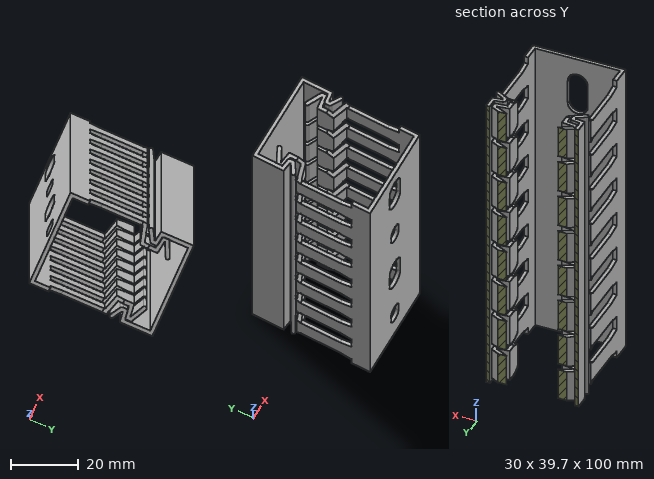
import cadquery as cq
import math

WIDTH = 30.0
DEPTH = 39.7
LENGTH = 100.0
WALL = 1.3
HALF_WIDTH = WIDTH / 2

LATCH_Y = 30.3
LATCH_SLOPE = 0.13

BASE_WALL_TOP = 24.8
GROOVE_X = 9.7
GROOVE_LOW_Y = 26.3
HEEL_TOP = 32.3
ARM_END_X = 8.7
ARM_END_Y = 34.8

COVER_NECK_X = 11.8
COVER_NECK_HEIGHT = 0.3
NECK_FILLET = 0.9
EDGE_MARGIN = 0.1
COVER_LIP_X = 14.6
COVER_LIP_Y = 26.8

FINGER_COUNT = 8
FINGER_PITCH = LENGTH / FINGER_COUNT
SLOT_WIDTH = 6.0
SLOT_ROOT_WIDTH = 4.5
SLOT_CLIP_WIDTH = 2.0
SLOT_ROOT_Y = 6.3
SLOT_ROOT_TAPER_END = 10.2
SLOT_CLIP_TAPER_START = 23.5
SLOT_CLIP_TAPER_END = 27.8

HOLE_PITCH = LENGTH / 4
LONG_HOLE_SIZE = (14.0, 6.5)
SHORT_HOLE_SIZE = (8.0, 4.5)


def latch_y(distance_from_middle):
    """Y of the shared sloping face at a distance from the middle plane."""
    return LATCH_Y - LATCH_SLOPE * (HALF_WIDTH - WALL - distance_from_middle)


def left_normal(start, end):
    """Unit vector to the left of the line from start to end."""
    dx = end[0] - start[0]
    dy = end[1] - start[1]
    length = math.hypot(dx, dy)
    return (-dy / length, dx / length)


def offset_left(path):
    """The open path moved one wall thickness to its left, with mitred corners."""
    normals = [left_normal(a, b) for a, b in zip(path, path[1:])]
    moved = []
    for point, before, after in zip(path, normals[:1] + normals, normals + normals[-1:]):
        mitre = WALL / (1 + before[0] * after[0] + before[1] * after[1])
        moved.append((point[0] + mitre * (before[0] + after[0]), point[1] + mitre * (before[1] + after[1])))
    return moved


def mirrored(path):
    """The path followed by its mirror image across the middle plane."""
    return path + [(-x, y) for x, y in reversed(path)]


def strip(path):
    """A strip one wall thick on the left of the path, with rounded ends, over the full length."""
    inner_path = offset_left(path)
    body = cq.Workplane("XY").polyline(path + inner_path[::-1]).close().extrude(LENGTH)
    for end in (0, -1):
        end_x = (path[end][0] + inner_path[end][0]) / 2
        end_y = (path[end][1] + inner_path[end][1]) / 2
        body = body.union(cq.Workplane("XY").center(end_x, end_y).circle(WALL / 2).extrude(LENGTH))
    return body


def finger_slot():
    """One slot centred on Z = 0, passing through both side walls and open past the clips."""
    half_outline = [
        (SLOT_ROOT_Y, SLOT_ROOT_WIDTH / 2),
        (SLOT_ROOT_TAPER_END, SLOT_WIDTH / 2),
        (SLOT_CLIP_TAPER_START, SLOT_WIDTH / 2),
        (SLOT_CLIP_TAPER_END, SLOT_CLIP_WIDTH / 2),
        (DEPTH, SLOT_CLIP_WIDTH / 2),
    ]
    outline = half_outline + [(y, -z) for y, z in reversed(half_outline)]
    return cq.Workplane("YZ").polyline(outline).close().extrude(HALF_WIDTH, both=True)


def mounting_hole(size, z):
    """A rounded slot along Z through the back of the base."""
    length, width = size
    return cq.Workplane("XZ").center(0, z).slot2D(length, width, 90).extrude(-WALL)


def make_base():
    """Slotted channel whose side walls end in snap clips."""
    heel_x = HALF_WIDTH - WALL
    left_half = [
        (-ARM_END_X, ARM_END_Y),
        (-heel_x, HEEL_TOP),
        (-heel_x, latch_y(heel_x)),
        (-GROOVE_X, latch_y(GROOVE_X)),
        (-GROOVE_X, GROOVE_LOW_Y),
        (-HALF_WIDTH, BASE_WALL_TOP),
        (-HALF_WIDTH, 0),
    ]
    base = strip(mirrored(left_half))
    for index in range(FINGER_COUNT + 1):
        base = base.cut(finger_slot().translate((0, 0, index * FINGER_PITCH)))
    for index, size in enumerate([SHORT_HOLE_SIZE, LONG_HOLE_SIZE] * 2):
        base = base.cut(mounting_hole(size, (index + 0.5) * HOLE_PITCH))
    return base


def make_cover():
    """Plain channel whose side walls end in snap clips with rounded lips."""
    neck_inner_x = COVER_NECK_X - WALL
    slope_drop = WALL * math.hypot(1, LATCH_SLOPE)
    neck_top = latch_y(COVER_NECK_X) - slope_drop
    right_half = [
        (COVER_LIP_X, COVER_LIP_Y),
        (COVER_NECK_X, neck_top - COVER_NECK_HEIGHT),
        (COVER_NECK_X, neck_top),
        (HALF_WIDTH, latch_y(HALF_WIDTH) - slope_drop),
        (HALF_WIDTH, DEPTH),
    ]
    cover = strip(mirrored(right_half))
    for side in (-1, 1):
        neck_edges = cq.selectors.BoxSelector(
            (side * neck_inner_x - EDGE_MARGIN, 0, 0),
            (side * neck_inner_x + EDGE_MARGIN, DEPTH - 2 * WALL, LENGTH),
        )
        cover = cover.edges("|Z").edges(neck_edges).fillet(NECK_FILLET)
    return cover


base = make_base()
cover = make_cover()
result = cq.Compound.makeCompound([base.val(), cover.val()])